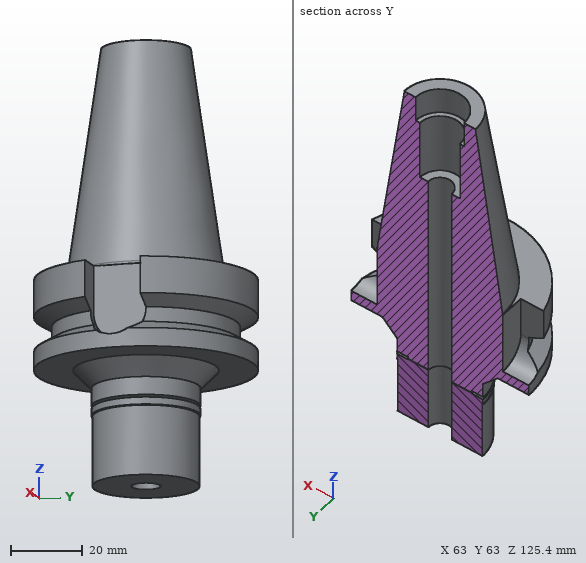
import cadquery as cq
import math

total_height = 125.4
through_hole_radius = 4.1

nut_radius = 15.0
nut_height = 22.2
rim_radius = 15.3
rim_height = 2.3
rim_chamfer = rim_radius - nut_radius

neck_radius = 11.4
gap_height = 0.8
nose_radius = 15.3
nose_base_z = nut_height + gap_height
nose_top_z = 28.1

flange_radius = 31.5
flange_base_z = 33.2
flange_top_z = 59.1
cone_radius = nose_radius + (flange_base_z - nose_top_z)
groove_radius = 26.5
groove_flank_angle = 30.0
groove_start_z = 38.5
groove_end_z = 48.5
groove_flank_height = (flange_radius - groove_radius) * math.tan(math.radians(groove_flank_angle))

taper_top_radius = 12.7
taper_base_z = 60.0
taper_slope = 7 / 24 / 2
taper_base_radius = taper_top_radius + (total_height - taper_base_z) * taper_slope

entry_bore_radius = 8.5
entry_bore_depth = 9.0
inner_bore_radius = 7.0
inner_bore_depth = 30.1

slot_half_width = 8.2
slot_bottom_z = 37.1
slot_arc_z = slot_bottom_z + slot_half_width
slot_floor_x = 22.3


def cylinder(radius, start_z, end_z):
    return cq.Workplane("XY").workplane(offset=start_z).circle(radius).extrude(end_z - start_z)


def drive_slot():
    """Round-bottomed cutter on the +X side, open at the flange top and rim."""
    return (
        cq.Workplane("YZ", origin=(slot_floor_x, 0, 0))
        .moveTo(-slot_half_width, flange_top_z)
        .lineTo(-slot_half_width, slot_arc_z)
        .threePointArc((0, slot_bottom_z), (slot_half_width, slot_arc_z))
        .lineTo(slot_half_width, flange_top_z)
        .close()
        .extrude(flange_radius - slot_floor_x)
    )


def make_holder():
    profile = [
        (0, nut_height),
        (neck_radius, nut_height),
        (neck_radius, nose_base_z),
        (nose_radius, nose_base_z),
        (nose_radius, nose_top_z),
        (cone_radius, flange_base_z),
        (flange_radius, flange_base_z),
        (flange_radius, groove_start_z),
        (groove_radius, groove_start_z + groove_flank_height),
        (groove_radius, groove_end_z - groove_flank_height),
        (flange_radius, groove_end_z),
        (flange_radius, flange_top_z),
        (taper_base_radius, flange_top_z),
        (taper_base_radius, taper_base_z),
        (taper_top_radius, total_height),
        (0, total_height),
    ]
    body = cq.Workplane("XZ").polyline(profile).close().revolve(360, (0, 0, 0), (0, 1, 0))

    body = body.cut(cylinder(through_hole_radius, nut_height, total_height))
    body = body.cut(cylinder(inner_bore_radius, total_height - inner_bore_depth, total_height))
    body = body.cut(cylinder(entry_bore_radius, total_height - entry_bore_depth, total_height))

    for angle in (0, 180):
        body = body.cut(drive_slot().rotate((0, 0, 0), (0, 0, 1), angle))
    return body


def make_nut():
    rim = cylinder(rim_radius, nut_height - rim_height, nut_height).faces("<Z").chamfer(rim_chamfer)
    body = cylinder(nut_radius, 0, nut_height).union(rim)
    return body.cut(cylinder(through_hole_radius, 0, nut_height))


holder = make_holder()
nut = make_nut()
result = cq.Compound.makeCompound([holder.val(), nut.val()])